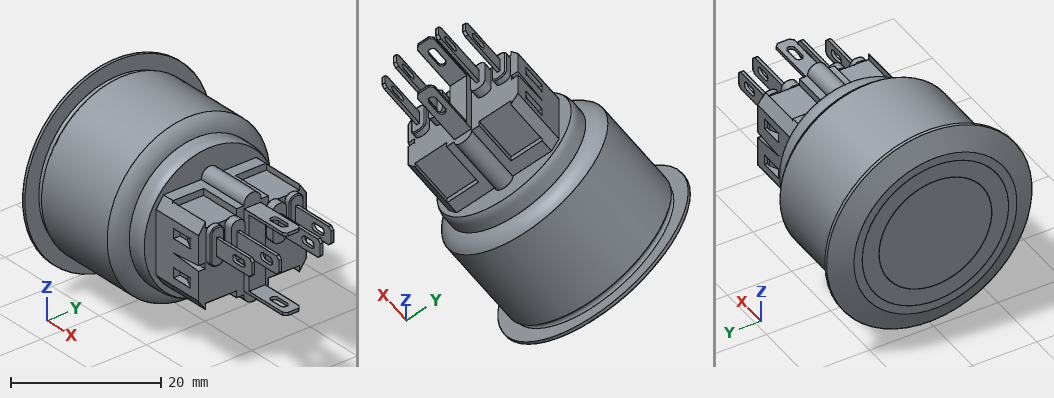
import cadquery as cq


total_length = 40.8
flange_radius = 16.0
front_face_radius = 12.7
flange_cone_end = 1.55
flange_back = 2.05
neck_radius = 13.6
neck_depth = 0.15
neck_deepest = 2.45
barrel_start = 3.05
barrel_end = 16.97
barrel_radius = 13.95
shoulder_arc_radius = 3.67
collar_start = 18.7
collar_radius = 11.55
collar_round_start = 20.3
collar_end = 21.5
collar_end_radius = 11.25
collar_round_radius = 2.45

gap_depth = 0.4
button_gap_diameters = (17.5, 17.6)
ring_gap_diameters = (22.75, 22.8)

block_end = 30.5
block_half_width = 9.22
block_half_height = 6.85
block_flat_half_width = 7.95
block_side_half_height = 5.05
bead_radius = 1.45
bead_top = 8.4

pocket_start = 23.55
pocket_inner = 2.75
pocket_outer = 8.05
pocket_depth = 1.05

window_start = 25.2
window_end = 28.72
window_height = 1.55
window_center_z = 3.0
ramp_start = 26.75
ramp_end = 28.15
window_deep = 1.1
window_shallow = 0.4
notch_half_width = 0.45
notch_depth = 1.1

blade_width = 2.8
blade_thickness = 0.5
blade_chamfer = 0.5
blade_slot_width = 1.2
pin_z = 2.98
sleeve_width = 2.35
sleeve_height = 6.08
sleeve_corner = 1.0
sleeve_chamfer = 0.15
inner_pin_y = 3.55
inner_pin_slot = (36.92, 39.45)
inner_sleeve_end = 31.9
outer_pin_y = 6.77
outer_pin_end = 39.1
outer_pin_slot = (35.05, 37.6)
outer_sleeve_end = 31.55
bracket_half_height = 6.35
bracket_plate_end = 31.55
bracket_end = 39.15
bracket_slot = (34.6, 37.75)

SIDES = (-1, 1)


def box(x_range, y_range, z_range):
    """Axis-aligned box between the given limits, each pair in either order."""
    (x0, x1), (y0, y1), (z0, z1) = (sorted(limits) for limits in (x_range, y_range, z_range))
    return cq.Workplane("XY").box(x1 - x0, y1 - y0, z1 - z0, centered=False).translate((x0, y0, z0))


def housing():
    """Flange, neck, barrel and collar turned about the X axis."""
    return (
        cq.Workplane("XY")
        .lineTo(0, front_face_radius)
        .lineTo(flange_cone_end, flange_radius)
        .lineTo(flange_back, flange_radius)
        .lineTo(flange_back, neck_radius)
        .threePointArc((neck_deepest, neck_radius - neck_depth), (barrel_start, barrel_radius))
        .lineTo(barrel_end, barrel_radius)
        .radiusArc((collar_start, collar_radius), shoulder_arc_radius)
        .lineTo(collar_round_start, collar_radius)
        .radiusArc((collar_end, collar_end_radius), collar_round_radius)
        .lineTo(collar_end, 0)
        .close()
        .revolve(360, (0, 0, 0), (1, 0, 0))
    )


def ring_gap(diameters):
    """Narrow annular cut into the front face."""
    inner, outer = diameters
    return cq.Workplane("YZ").circle(outer / 2).circle(inner / 2).extrude(gap_depth)


def contact_block():
    """Octagonal block with a round bead along its top and bottom."""
    corners = [
        (block_half_width, block_side_half_height),
        (block_flat_half_width, block_half_height),
        (-block_flat_half_width, block_half_height),
        (-block_half_width, block_side_half_height),
        (-block_half_width, -block_side_half_height),
        (-block_flat_half_width, -block_half_height),
        (block_flat_half_width, -block_half_height),
        (block_half_width, -block_side_half_height),
    ]
    length = block_end - collar_end
    base = cq.Workplane("YZ", origin=(collar_end, 0, 0))
    block = base.polyline(corners).close().extrude(length)
    bead_z = bead_top - bead_radius
    beads = base.pushPoints([(0, bead_z), (0, -bead_z)]).circle(bead_radius).extrude(length)
    return block.union(beads)


def pocket(side_y, side_z):
    """Recess beside a bead, open at the rear and leaving a thin outer lip."""
    return box(
        (pocket_start, block_end),
        (side_y * pocket_inner, side_y * pocket_outer),
        (side_z * (block_half_height - pocket_depth), side_z * bead_top),
    )


def latch_window(side_z):
    """Window in the -Y side whose floor ramps up from deep to shallow."""
    face_y = -block_half_width
    return (
        cq.Workplane("XY", origin=(0, 0, side_z * window_center_z))
        .moveTo(window_start, face_y)
        .lineTo(window_start, face_y + window_deep)
        .lineTo(ramp_start, face_y + window_deep)
        .lineTo(ramp_end, face_y + window_shallow)
        .lineTo(window_end, face_y + window_shallow)
        .lineTo(window_end, face_y)
        .close()
        .extrude(window_height / 2, both=True)
    )


def relief_notch():
    """V notch in the -Y side, widening towards the rear."""
    return (
        cq.Workplane("XZ", origin=(0, -block_half_width, 0))
        .moveTo(window_start, 0)
        .lineTo(block_end, notch_half_width)
        .lineTo(block_end, -notch_half_width)
        .close()
        .extrude(-notch_depth)
    )


def blade(end, slot):
    """Flat slotted solder blade in the XY plane, from the block to its end."""
    slot_start, slot_end = slot
    length = end - block_end
    return (
        cq.Workplane("XY")
        .box(length, blade_width, blade_thickness)
        .translate((block_end + length / 2, 0, 0))
        .edges("|Z and >X")
        .chamfer(blade_chamfer)
        .cut(
            cq.Workplane("XY")
            .center((slot_start + slot_end) / 2, 0)
            .slot2D(slot_end - slot_start, blade_slot_width)
            .extrude(blade_thickness, both=True)
        )
    )


def upright_pin(y, end, slot):
    """Solder blade standing on edge."""
    return blade(end, slot).rotate((0, 0, 0), (1, 0, 0), 90).translate((0, y, pin_z))


def sleeve(y, end):
    """Rounded sleeve at the root of a pin."""
    return (
        cq.Workplane("YZ", origin=(block_end, y, pin_z))
        .rect(sleeve_width, sleeve_height)
        .extrude(end - block_end)
        .edges("|X")
        .fillet(sleeve_corner)
    )


def lamp_bracket():
    """U-shaped bracket: a plate on the block with a blade at top and bottom."""
    bracket = box(
        (block_end, bracket_plate_end),
        (-blade_width / 2, blade_width / 2),
        (-bracket_half_height, bracket_half_height),
    )
    for side in SIDES:
        height = side * (bracket_half_height - blade_thickness / 2)
        bracket = bracket.union(blade(bracket_end, bracket_slot).translate((0, 0, height)))
    return bracket


block = contact_block()
side_cuts = relief_notch()
for side_z in SIDES:
    side_cuts = side_cuts.union(latch_window(side_z))
    for side_y in SIDES:
        block = block.cut(pocket(side_y, side_z))
block = block.cut(side_cuts).cut(side_cuts.mirror("XZ"))

result = housing().union(block).union(lamp_bracket())
for side in SIDES:
    outer_sleeve = sleeve(side * outer_pin_y, outer_sleeve_end).faces(">X").chamfer(sleeve_chamfer)
    result = (
        result.union(sleeve(side * inner_pin_y, inner_sleeve_end))
        .union(upright_pin(side * inner_pin_y, total_length, inner_pin_slot))
        .union(outer_sleeve)
        .union(upright_pin(side * outer_pin_y, outer_pin_end, outer_pin_slot))
    )
result = result.cut(ring_gap(button_gap_diameters)).cut(ring_gap(ring_gap_diameters))